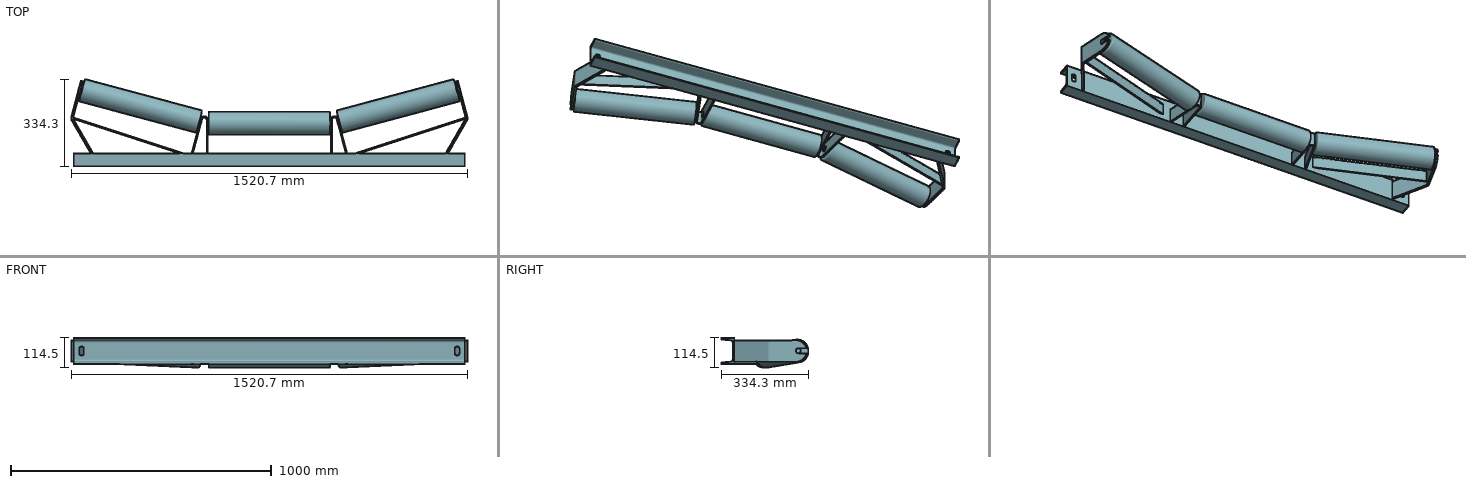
import cadquery as cq
import math

CHANNEL_LENGTH = 1500.0
CHANNEL_HEIGHT = 100.0
FLANGE_WIDTH = 50.0
WEB_THICKNESS = 6.0
FLANGE_THICKNESS = 8.5
FLANGE_TAPER = 0.08
ROOT_RADIUS = 8.5
TOE_RADIUS = 4.5
MOUNT_SLOT_PITCH = 1440.0
MOUNT_SLOT_LENGTH = 35.0
MOUNT_SLOT_WIDTH = 18.0

ROLLER_DIAMETER = 89.0
ROLLER_LENGTH = 465.0
ROLLER_END_RADIUS = 4.0
SHAFT_DIAMETER = 20.0
TROUGH_ANGLE = 15.0
CENTER_AXIS_Y = 116.0
CENTER_AXIS_Z = -20.0
WING_OUTER_X = 718.0
WING_OUTER_Y = 242.22
INNER_GAP = 3.5

INNER_WIDTH = 60.0
INNER_THICKNESS = 5.0
INNER_TOP_Y = 143.0

OUTER_WIDTH = 82.0
OUTER_THICKNESS = 8.0
OUTER_GAP = 5.8
OUTER_HALF_SPAN = 760.37
KNEE_RADIUS = 16.0
LEG_ANGLE = 30.0
TIP_RISE = 35.0

STRUT_THICKNESS = 5.0
STRUT_WIDTH = 50.0
STRUT_ANGLE = 18.0
STRUT_FOOT_X = 336.0

SIN_TROUGH = math.sin(math.radians(TROUGH_ANGLE))
COS_TROUGH = math.cos(math.radians(TROUGH_ANGLE))
ROLLER_RADIUS = ROLLER_DIAMETER / 2
SHAFT_RADIUS = SHAFT_DIAMETER / 2
WING_DROP = math.asin(-CENTER_AXIS_Z / ROLLER_LENGTH)
WING_AXIS = cq.Vector(
    math.cos(WING_DROP) * COS_TROUGH, math.cos(WING_DROP) * SIN_TROUGH, math.sin(WING_DROP)
)
WING_OUTER = cq.Vector(WING_OUTER_X, WING_OUTER_Y, 0)
WING_INNER = WING_OUTER - WING_AXIS * ROLLER_LENGTH
CENTER_END = cq.Vector(ROLLER_LENGTH / 2, CENTER_AXIS_Y, CENTER_AXIS_Z)


def cylinder(start, direction, radius, length):
    return cq.Workplane(cq.Solid.makeCylinder(radius, length, start, direction))


def xy(point):
    return point.x, point.y


def plate(outline, width):
    """Outline in the XY plane, thickened evenly about Z = 0."""
    return outline.extrude(width / 2, both=True)


def build_channel():
    half = CHANNEL_HEIGHT / 2
    taper_half_run = FLANGE_TAPER * FLANGE_WIDTH / 2
    toe_z = half - (FLANGE_THICKNESS - taper_half_run)
    root_z = half - (FLANGE_THICKNESS + taper_half_run - FLANGE_TAPER * WEB_THICKNESS)
    section = [
        (0, -half), (0, half), (-FLANGE_WIDTH, half), (-FLANGE_WIDTH, toe_z), (-WEB_THICKNESS, root_z),
        (-WEB_THICKNESS, -root_z), (-FLANGE_WIDTH, -toe_z), (-FLANGE_WIDTH, -half),
    ]
    beam = cq.Workplane("YZ").polyline(section).close().extrude(CHANNEL_LENGTH / 2, both=True)

    def edges_at(y, z):
        reach = WEB_THICKNESS / 10
        lower = (-CHANNEL_LENGTH, y - reach, z - reach)
        upper = (CHANNEL_LENGTH, y + reach, z + reach)
        return cq.selectors.BoxSelector(lower, upper, boundingbox=True)

    for side in (1, -1):
        beam = beam.edges(edges_at(-WEB_THICKNESS, side * root_z)).fillet(ROOT_RADIUS)
        beam = beam.edges(edges_at(-FLANGE_WIDTH, side * toe_z)).fillet(TOE_RADIUS)
    slots = (
        cq.Workplane("XZ")
        .pushPoints([(-MOUNT_SLOT_PITCH / 2, 0), (MOUNT_SLOT_PITCH / 2, 0)])
        .slot2D(MOUNT_SLOT_LENGTH, MOUNT_SLOT_WIDTH, 90)
        .extrude(WEB_THICKNESS)
    )
    return beam.cut(slots)


def build_roller(inner_end, axis, inner_overhang, outer_overhang):
    """Roller and shaft in one; each overhang carries the shaft through a bracket."""
    shell = cylinder(inner_end, axis, ROLLER_RADIUS, ROLLER_LENGTH)
    shaft_length = inner_overhang + ROLLER_LENGTH + outer_overhang
    shaft = cylinder(inner_end - axis * inner_overhang, axis, SHAFT_RADIUS, shaft_length)
    return shell.edges().fillet(ROLLER_END_RADIUS).union(shaft)


INNER_OVERHANG = INNER_GAP + INNER_THICKNESS
OUTER_OVERHANG = OUTER_GAP + OUTER_THICKNESS


def build_center_roller():
    start = cq.Vector(-CENTER_END.x, CENTER_END.y, CENTER_END.z)
    return build_roller(start, cq.Vector(1, 0, 0), INNER_OVERHANG, INNER_OVERHANG)


def build_wing_roller():
    return build_roller(WING_INNER, WING_AXIS, INNER_OVERHANG, OUTER_OVERHANG)


def build_inner_bracket():
    upright_x = CENTER_END.x + INNER_GAP
    slope = SIN_TROUGH / COS_TROUGH
    slant_foot_x = WING_INNER.x - INNER_GAP / COS_TROUGH + WING_INNER.y * slope

    top_gap = slant_foot_x - upright_x - INNER_TOP_Y * slope
    fold_radius = top_gap * COS_TROUGH / (1 + COS_TROUGH - SIN_TROUGH)
    fold_x = upright_x + fold_radius
    fold_y = INNER_TOP_Y - fold_radius

    def fold_outline(inset):
        radius = fold_radius - inset
        return (
            cq.Workplane("XY")
            .moveTo(upright_x + inset, 0)
            .lineTo(upright_x + inset, fold_y)
            .threePointArc(
                (fold_x, fold_y + radius),
                (fold_x + radius * COS_TROUGH, fold_y + radius * SIN_TROUGH),
            )
            .lineTo(slant_foot_x - inset / COS_TROUGH, 0)
            .close()
        )

    bracket = plate(fold_outline(0), INNER_WIDTH)
    bracket = bracket.cut(plate(fold_outline(INNER_THICKNESS), INNER_WIDTH))
    bracket = bracket.translate((0, 0, CENTER_AXIS_Z))
    return bracket.cut(build_center_roller()).cut(build_wing_roller())


ARM_NORMAL = cq.Vector(COS_TROUGH, SIN_TROUGH, 0)
ARM_RISE = cq.Vector(-SIN_TROUGH, COS_TROUGH, 0)
ARM_OUTER_POINT = WING_OUTER + ARM_NORMAL * (OUTER_GAP + OUTER_THICKNESS)
KNEE_X = OUTER_HALF_SPAN - KNEE_RADIUS
KNEE_Y = ARM_OUTER_POINT.y - (KNEE_RADIUS + (KNEE_X - ARM_OUTER_POINT.x) * COS_TROUGH) / SIN_TROUGH
KNEE = cq.Vector(KNEE_X, KNEE_Y, 0)
LEG = math.radians(LEG_ANGLE)
LEG_NORMAL = cq.Vector(math.cos(LEG), -math.sin(LEG), 0)
KNEE_INNER_RADIUS = KNEE_RADIUS - OUTER_THICKNESS


def leg_foot_x(radius):
    """Where the leg face tangent to the knee arc of this radius meets the channel."""
    start = KNEE + LEG_NORMAL * radius
    return start.x - start.y * math.tan(LEG)


def build_outer_bracket():
    leg_and_knee = plate(
        cq.Workplane("XY")
        .moveTo(leg_foot_x(KNEE_RADIUS), 0)
        .lineTo(*xy(KNEE + LEG_NORMAL * KNEE_RADIUS))
        .threePointArc(
            (KNEE.x + KNEE_RADIUS, KNEE.y),
            xy(KNEE + ARM_NORMAL * KNEE_RADIUS),
        )
        .lineTo(*xy(KNEE + ARM_NORMAL * KNEE_INNER_RADIUS))
        .threePointArc(
            (KNEE.x + KNEE_INNER_RADIUS, KNEE.y),
            xy(KNEE + LEG_NORMAL * KNEE_INNER_RADIUS),
        )
        .lineTo(leg_foot_x(KNEE_INNER_RADIUS), 0)
        .close(),
        OUTER_WIDTH,
    )

    arm_start = KNEE + ARM_NORMAL * KNEE_INNER_RADIUS
    half_width = OUTER_WIDTH / 2
    arm_length = (WING_OUTER - KNEE).dot(ARM_RISE) + TIP_RISE
    straight = arm_length - half_width
    arm = (
        cq.Workplane(cq.Plane(arm_start, xDir=(0, 0, -1), normal=ARM_NORMAL))
        .moveTo(-half_width, 0)
        .lineTo(-half_width, straight)
        .threePointArc((0, arm_length), (half_width, straight))
        .lineTo(half_width, 0)
        .close()
        .extrude(OUTER_THICKNESS)
    )
    slot_length = 2 * TIP_RISE
    shaft_slot = (
        cq.Workplane(cq.Plane(WING_OUTER, xDir=(0, 0, -1), normal=WING_AXIS))
        .center(0, slot_length / 2)
        .rect(SHAFT_DIAMETER, slot_length)
        .extrude(2 * OUTER_OVERHANG)
    )
    shaft_seat = cylinder(WING_OUTER, WING_AXIS, SHAFT_RADIUS, 2 * OUTER_OVERHANG)
    return leg_and_knee.union(arm).cut(shaft_slot).cut(shaft_seat)


def build_strut():
    angle = math.radians(STRUT_ANGLE)
    along = cq.Vector(math.cos(angle), math.sin(angle), 0)
    bar_length = 2 * (OUTER_HALF_SPAN - STRUT_FOOT_X) / along.x
    bar = plate(
        cq.Workplane(cq.Plane((STRUT_FOOT_X, 0, 0), xDir=along, normal=(0, 0, 1)))
        .rect(bar_length, STRUT_THICKNESS),
        STRUT_WIDTH,
    )
    space_inside_bracket = plate(
        cq.Workplane("XY")
        .lineTo(leg_foot_x(KNEE_INNER_RADIUS), 0)
        .lineTo(*xy(KNEE + LEG_NORMAL * KNEE_INNER_RADIUS))
        .threePointArc(
            (KNEE.x + KNEE_INNER_RADIUS, KNEE.y),
            xy(KNEE + ARM_NORMAL * KNEE_INNER_RADIUS),
        )
        .lineTo(0, WING_OUTER.y)
        .close(),
        STRUT_WIDTH,
    )
    return bar.intersect(space_inside_bracket)


def left_and_right(right_body):
    """The body and its mirror image across the YZ plane, as two solids."""
    return [right_body.mirror("YZ").val(), right_body.val()]


channel = build_channel()
center_roller = build_center_roller()
wing_rollers = left_and_right(build_wing_roller())
inner_brackets = left_and_right(build_inner_bracket())
outer_brackets = left_and_right(build_outer_bracket())
struts = left_and_right(build_strut())

result = cq.Compound.makeCompound([
    channel.val(),
    center_roller.val(),
    *wing_rollers,
    *inner_brackets,
    *outer_brackets,
    *struts,
])